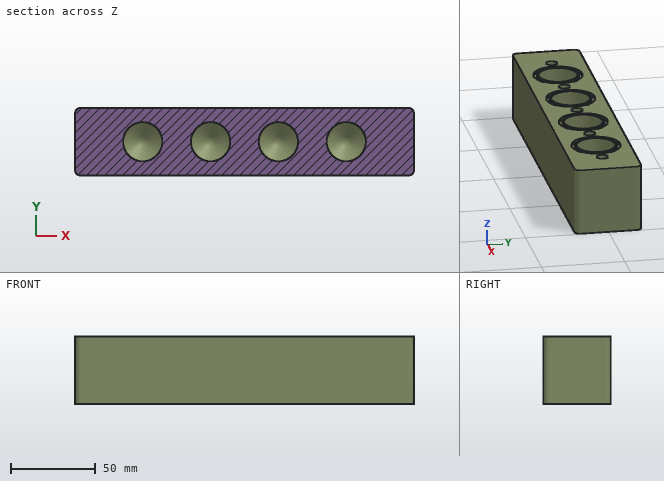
import cadquery as cq
import math

length = 200.0
width = 40.0
height = 40.0
corner_radius = 3.5

pitch = 40.0
well_count = 4
pin_hole_count = well_count + 1

well_diameter = 23.0
well_depth = 25.0

groove_outer_diameter = 29.0
groove_inner_diameter = 25.0
groove_depth = 1.5

pin_hole_diameter = 6.65
pin_hole_depth = 15.0

drill_point_angle = 118.0


def row_positions(count):
    """Points spaced by the pitch along X, centred on the block."""
    return [((i - (count - 1) / 2) * pitch, 0) for i in range(count)]


def drilled_hole(diameter, depth):
    """Cutter for a blind hole from the top face: straight wall, conical bottom."""
    radius = diameter / 2
    point_depth = radius / math.tan(math.radians(drill_point_angle / 2))
    return (
        cq.Workplane("XZ")
        .moveTo(0, height)
        .lineTo(radius, height)
        .lineTo(radius, height - depth)
        .lineTo(0, height - depth - point_depth)
        .close()
        .revolve(360, (0, 0, 0), (0, 1, 0))
    )


def seal_groove():
    """Cutter for the ring-shaped groove in the top face."""
    return (
        cq.Workplane("XY")
        .workplane(offset=height - groove_depth)
        .circle(groove_outer_diameter / 2)
        .circle(groove_inner_diameter / 2)
        .extrude(groove_depth)
    )


def cut_at(body, cutter, positions):
    """Cut a copy of the cutter at each position."""
    for x, y in positions:
        body = body.cut(cutter.translate((x, y, 0)))
    return body


block = (
    cq.Workplane("XY")
    .box(length, width, height, centered=(True, True, False))
    .edges("|Z")
    .fillet(corner_radius)
)

well_positions = row_positions(well_count)
pin_hole_positions = row_positions(pin_hole_count)

result = cut_at(block, drilled_hole(well_diameter, well_depth), well_positions)
result = cut_at(result, seal_groove(), well_positions)
result = cut_at(result, drilled_hole(pin_hole_diameter, pin_hole_depth), pin_hole_positions)